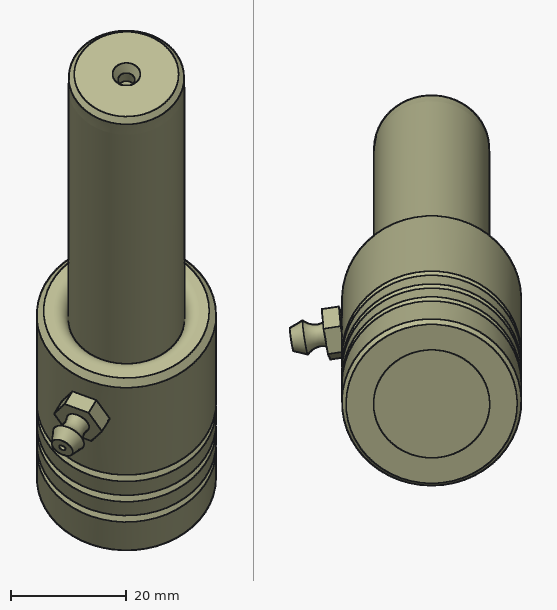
import cadquery as cq
import math

PIN_RADIUS = 20.0 / 2
PIN_TOP = 120.0
TIP_CHAMFER = 1.0
LEAD_LENGTH = 4.0
LEAD_RELIEF = 0.06
CENTRE_RADIUS = 2.4
CENTRE_DRILL_RADIUS = 1.5
CENTRE_DRILL_LENGTH = 2.4
CENTRE_HALF_ANGLE = 30.0
DRILL_POINT_HALF_ANGLE = 60.0

HOUSING_RADIUS = 15.5
HOUSING_HEIGHT = 50.0
HOUSING_TOP_CHAMFER = 1.2
HOUSING_BOTTOM_CHAMFER = 0.7
MOUTH_FILLET = 2.5
GROOVE_DEPTH = 1.0
GROOVE_COUNT = 3
GROOVE_PITCH = 6.0
LOWEST_GROOVE_Z = 10.1

NIPPLE_Z = 40.0
NIPPLE_ANGLE = 22.5
HEX_ACROSS_FLATS = 8.0
HEX_TWIST = 34.0
HEX_THICKNESS = 3.0
SHANK_RADIUS = 2.5
SHANK_DEPTH = 3.6
NECK_ROOT_RADIUS = 2.2
WAIST_RADIUS = 1.9
NECK_LENGTH = 1.1
HEAD_RADIUS = 3.0
HEAD_FLARE_LENGTH = 2.5
HEAD_TAPER_LENGTH = 2.4
TIP_RADIUS = 2.0
PORT_RADIUS = 0.6
PORT_DEPTH = 1.2


def revolve_about_z(profile):
    """Turn a closed half profile in the XZ plane fully around the Z axis."""
    return profile.close().revolve(360, (0, 0, 0), (0, 1, 0))


def place_on_nipple_axis(body):
    """Move a body built along +Z from the origin onto the nipple axis, starting on the pin axis."""
    return (
        body.rotate((0, 0, 0), (1, 0, 0), 90)
        .rotate((0, 0, 0), (0, 0, 1), NIPPLE_ANGLE)
        .translate((0, 0, NIPPLE_Z))
    )


def make_pin():
    lead_radius = PIN_RADIUS - LEAD_RELIEF
    cone_depth = (CENTRE_RADIUS - CENTRE_DRILL_RADIUS) / math.tan(math.radians(CENTRE_HALF_ANGLE))
    point_depth = CENTRE_DRILL_RADIUS / math.tan(math.radians(DRILL_POINT_HALF_ANGLE))
    drill_shoulder = PIN_TOP - cone_depth - CENTRE_DRILL_LENGTH
    return revolve_about_z(
        cq.Workplane("XZ")
        .lineTo(PIN_RADIUS, 0)
        .lineTo(PIN_RADIUS, PIN_TOP - LEAD_LENGTH)
        .lineTo(lead_radius, PIN_TOP - TIP_CHAMFER)
        .lineTo(lead_radius - TIP_CHAMFER, PIN_TOP)
        .lineTo(CENTRE_RADIUS, PIN_TOP)
        .lineTo(CENTRE_DRILL_RADIUS, PIN_TOP - cone_depth)
        .lineTo(CENTRE_DRILL_RADIUS, drill_shoulder)
        .lineTo(0, drill_shoulder - point_depth)
    )


def make_groove_cutter(z):
    return revolve_about_z(
        cq.Workplane("XZ")
        .moveTo(HOUSING_RADIUS, z - GROOVE_DEPTH)
        .lineTo(HOUSING_RADIUS - GROOVE_DEPTH, z)
        .lineTo(HOUSING_RADIUS, z + GROOVE_DEPTH)
    )


def make_housing():
    housing = cq.Workplane("XY").circle(HOUSING_RADIUS).extrude(HOUSING_HEIGHT)
    housing = housing.faces(">Z").chamfer(HOUSING_TOP_CHAMFER)
    housing = housing.faces("<Z").chamfer(HOUSING_BOTTOM_CHAMFER)

    bore = cq.Workplane("XY").circle(PIN_RADIUS).extrude(HOUSING_HEIGHT)
    housing = housing.cut(bore)
    housing = housing.faces(">Z").edges(cq.selectors.RadiusNthSelector(0)).fillet(MOUTH_FILLET)

    for index in range(GROOVE_COUNT):
        housing = housing.cut(make_groove_cutter(LOWEST_GROOVE_Z + index * GROOVE_PITCH))

    shank_hole = (
        cq.Workplane("XY", origin=(0, 0, HOUSING_RADIUS - SHANK_DEPTH))
        .circle(SHANK_RADIUS)
        .extrude(SHANK_DEPTH)
    )
    return housing.cut(place_on_nipple_axis(shank_hole))


def make_nipple():
    seat = HOUSING_RADIUS
    hex_front = seat + HEX_THICKNESS
    waist = hex_front + NECK_LENGTH
    head_widest = waist + HEAD_FLARE_LENGTH
    tip = head_widest + HEAD_TAPER_LENGTH

    flare_rise = HEAD_RADIUS - WAIST_RADIUS
    flare_radius = (flare_rise**2 + HEAD_FLARE_LENGTH**2) / (2 * flare_rise)

    turned = revolve_about_z(
        cq.Workplane("XZ")
        .moveTo(0, seat - SHANK_DEPTH)
        .lineTo(SHANK_RADIUS, seat - SHANK_DEPTH)
        .lineTo(SHANK_RADIUS, seat)
        .lineTo(NECK_ROOT_RADIUS, seat)
        .lineTo(NECK_ROOT_RADIUS, hex_front)
        .lineTo(WAIST_RADIUS, waist)
        .radiusArc((HEAD_RADIUS, head_widest), flare_radius)
        .lineTo(TIP_RADIUS, tip)
        .lineTo(PORT_RADIUS, tip)
        .lineTo(PORT_RADIUS, tip - PORT_DEPTH)
        .lineTo(0, tip - PORT_DEPTH)
    )
    hexagon = (
        cq.Workplane("XY", origin=(0, 0, seat))
        .polygon(6, HEX_ACROSS_FLATS, circumscribed=True)
        .extrude(HEX_THICKNESS)
        .rotate((0, 0, 0), (0, 0, 1), HEX_TWIST)
    )
    return place_on_nipple_axis(turned.union(hexagon))


pin = make_pin()
housing = make_housing()
nipple = make_nipple()

result = cq.Compound.makeCompound([pin.val(), housing.val(), nipple.val()])